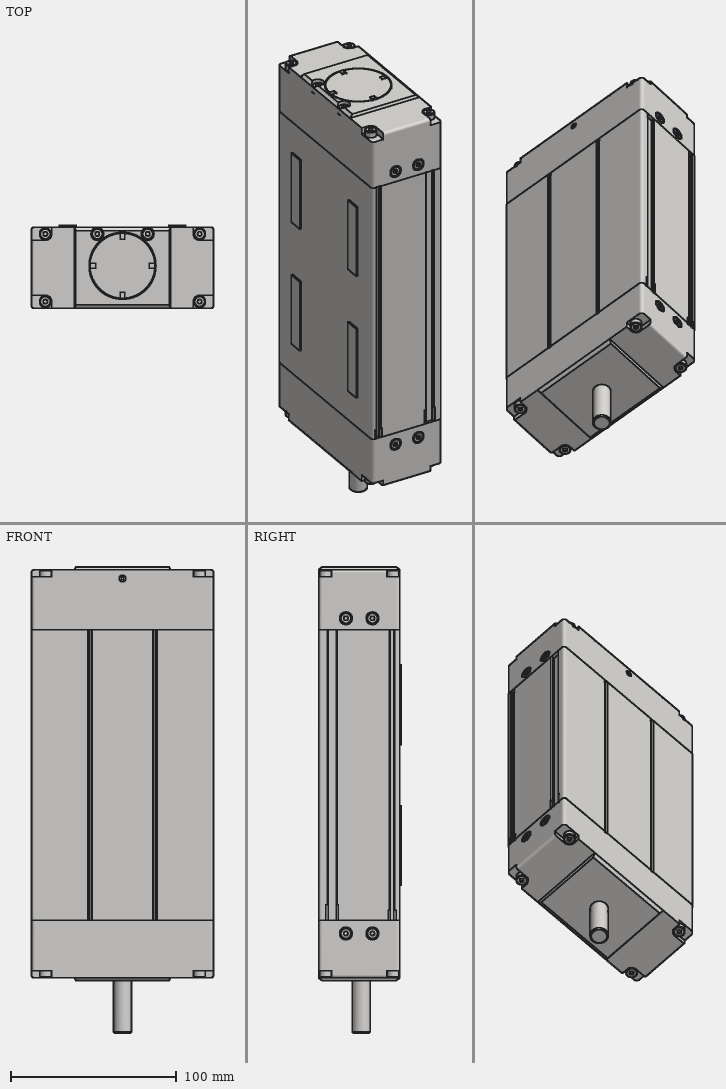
import cadquery as cq

WIDTH = 110.0
DEPTH = 49.0
SHAFT_LENGTH = 31.5
FACE_PLATE_HEIGHT = 1.75
LOWER_HEAD_HEIGHT = 34.75
PROFILE_LENGTH = 175.0
TOTAL_HEIGHT = 281.0
AXIS_Y = 1.2

PROFILE_BOTTOM = SHAFT_LENGTH + FACE_PLATE_HEIGHT + LOWER_HEAD_HEIGHT
PROFILE_TOP = PROFILE_BOTTOM + PROFILE_LENGTH
UPPER_HEAD_HEIGHT = TOTAL_HEIGHT - PROFILE_TOP - FACE_PLATE_HEIGHT

HEAD_CORNER_RADIUS = 2.2
END_EDGE_RADIUS = 1.8
FACE_PLATE_WIDTH = 58.0
FACE_PLATE_END_SLOPE = 2.2
FACE_PLATE_SIDE_SLOPE = 0.9

POCKET_RADIUS = 3.8
POCKET_DEPTH = 4.2
SCREW_RADIUS = 3.5
SCREW_HEIGHT = 4.0
SCREW_CHAMFER = 0.5
SOCKET_RADIUS = 1.3
SOCKET_DEPTH = 1.5
CORNER_SCREW_X = 46.5
CORNER_SCREW_Y = 20.4
COVER_SCREW_X = 15.2
SIDE_SCREW_Y = 8.0
UPPER_SIDE_SCREW_OFFSET = 7.0
LOWER_SIDE_SCREW_OFFSET = 8.0

VENT_RADIUS = 2.0
VENT_BORE_RADIUS = 0.9
VENT_SINK_DEPTH = 1.0
VENT_DEPTH = 5.0
VENT_BELOW_TOP = 7.0

COVER_RECESS_RADIUS = 20.2
COVER_RADIUS = 19.6
COVER_THICKNESS = 4.0
COVER_NOTCH_WIDTH = 3.0
COVER_NOTCH_LENGTH = 3.6
COVER_NOTCH_DEPTH = 2.0

PROFILE_CORNER_RADIUS = 1.8
GROOVE_LIP = 0.7
FRONT_GROOVE_X = 19.5
FRONT_GROOVE_WIDTH = 1.2
FRONT_GROOVE_DEPTH = 1.3
SIDE_GROOVE_DEPTH = 2.0
SIDE_GROOVES = [(-18.6, -13.9, 9.3), (18.8, 20.8, 6.0)]
MOUTH_MARGIN = 1.4
PAD_X = 33.0
PAD_WIDTH = 10.0
PAD_LENGTH = 48.0
PAD_HEIGHT = 1.0
PAD_SPACING = 84.8

SHAFT_RADIUS = 5.5
SHAFT_CHAMFER = 0.8
SHAFT_ENGAGEMENT = 20.0


def block(x_range, y_range, z_range):
    """Box given by its limits along each axis."""
    sizes = [high - low for low, high in (x_range, y_range, z_range)]
    corner = (x_range[0], y_range[0], z_range[0])
    return cq.Workplane("XY").box(*sizes, centered=False).translate(corner)


def cylinder(radius, height, base, direction):
    """Cylinder that starts at base and runs along direction."""
    return cq.Workplane(cq.Solid.makeCylinder(radius, height, cq.Vector(*base), cq.Vector(*direction)))


def add_screw(body, floor, outward):
    """Socket-head screw standing on the floor point of its pocket."""
    top = [start + SCREW_HEIGHT * step for start, step in zip(floor, outward)]
    inward = [-step for step in outward]
    straight_height = SCREW_HEIGHT - SCREW_CHAMFER
    rim_radius = SCREW_RADIUS - SCREW_CHAMFER
    shoulder = [start + straight_height * step for start, step in zip(floor, outward)]
    bevel = cq.Solid.makeCone(
        SCREW_RADIUS, rim_radius, SCREW_CHAMFER, cq.Vector(*shoulder), cq.Vector(*outward)
    )
    body = body.union(cylinder(SCREW_RADIUS, straight_height, floor, outward)).union(cq.Workplane(bevel))
    return body.cut(cylinder(SOCKET_RADIUS, SOCKET_DEPTH, top, inward))


def make_head_blank(height):
    """Head with its joint face at Z = 0 and its outer end, with face plate, at the top."""
    rounded_sides = cq.Workplane("XY").box(WIDTH, DEPTH, height, centered=(True, True, False))
    rounded_end = rounded_sides.faces(">Z").edges("|Y").fillet(END_EDGE_RADIUS)
    head = rounded_sides.edges("|Z").fillet(HEAD_CORNER_RADIUS).intersect(rounded_end)
    plate = (
        cq.Workplane("XY", origin=(0, 0, height))
        .rect(FACE_PLATE_WIDTH, DEPTH)
        .workplane(offset=FACE_PLATE_HEIGHT)
        .rect(FACE_PLATE_WIDTH - 2 * FACE_PLATE_SIDE_SLOPE, DEPTH - 2 * FACE_PLATE_END_SLOPE)
        .loft(ruled=True)
    )
    return head.union(plate)


def add_corner_screws(head, height):
    """Open pocket with a screw at each corner of the outer end."""
    floor = height - POCKET_DEPTH
    for x_side in (-1, 1):
        for y_side in (-1, 1):
            inner_x = CORNER_SCREW_X - POCKET_RADIUS
            inner_y = CORNER_SCREW_Y - POCKET_RADIUS
            pocket = block((inner_x, WIDTH), (inner_y, DEPTH), (floor, height + FACE_PLATE_HEIGHT))
            pocket = pocket.edges("|Z and <X and <Y").fillet(POCKET_RADIUS)
            if x_side < 0:
                pocket = pocket.mirror("YZ")
            if y_side < 0:
                pocket = pocket.mirror("XZ")
            head = head.cut(pocket)
            head = add_screw(head, (x_side * CORNER_SCREW_X, y_side * CORNER_SCREW_Y, floor), (0, 0, 1))
    return head


def add_side_screws(head, offset):
    """Two counterbored screws in each narrow side, offset from the joint face."""
    for x_side in (-1, 1):
        for y in (-SIDE_SCREW_Y, SIDE_SCREW_Y):
            floor = (x_side * (WIDTH / 2 - POCKET_DEPTH), y, offset)
            outward = (x_side, 0, 0)
            head = head.cut(cylinder(POCKET_RADIUS, POCKET_DEPTH, floor, outward))
            head = add_screw(head, floor, outward)
    return head


def add_cover_screws(head, height):
    """Two screws beside the round cover, near the back edge."""
    floor = height - POCKET_DEPTH
    top = height + FACE_PLATE_HEIGHT
    for x in (-COVER_SCREW_X, COVER_SCREW_X):
        foot = (x, CORNER_SCREW_Y, floor)
        head = head.cut(cylinder(POCKET_RADIUS, top - floor, foot, (0, 0, 1)))
        head = add_screw(head, foot, (0, 0, 1))
    return head


def make_upper_head():
    height = UPPER_HEAD_HEIGHT
    outer_face = height + FACE_PLATE_HEIGHT
    head = add_corner_screws(make_head_blank(height), height)
    head = add_side_screws(head, UPPER_SIDE_SCREW_OFFSET)
    head = add_cover_screws(head, height)
    recess_floor = (0, AXIS_Y, outer_face - COVER_THICKNESS)
    head = head.cut(cylinder(COVER_RECESS_RADIUS, COVER_THICKNESS, recess_floor, (0, 0, 1)))
    vent = (0, -DEPTH / 2, outer_face - VENT_BELOW_TOP)
    head = head.cut(cylinder(VENT_RADIUS, VENT_SINK_DEPTH, vent, (0, 1, 0)))
    head = head.cut(cylinder(VENT_BORE_RADIUS, VENT_DEPTH, vent, (0, 1, 0)))
    return head.translate((0, 0, PROFILE_TOP))


def make_lower_head():
    height = LOWER_HEAD_HEIGHT
    head = add_corner_screws(make_head_blank(height), height)
    head = add_side_screws(head, LOWER_SIDE_SCREW_OFFSET)
    head = head.mirror("XY").translate((0, 0, PROFILE_BOTTOM))
    bore_length = FACE_PLATE_HEIGHT + SHAFT_ENGAGEMENT
    return head.cut(cylinder(SHAFT_RADIUS, bore_length, (0, AXIS_Y, SHAFT_LENGTH), (0, 0, 1)))


def make_groove_cutter(width, depth):
    """Groove with bevelled lips, cut toward +Y from the plane Y = 0 over the profile length."""
    half = width / 2
    outline = [
        (-half - GROOVE_LIP, 0),
        (-half, GROOVE_LIP),
        (-half, depth),
        (half, depth),
        (half, GROOVE_LIP),
        (half + GROOVE_LIP, 0),
    ]
    return cq.Workplane("XY").polyline(outline).close().extrude(PROFILE_LENGTH)


def make_profile():
    span = (PROFILE_BOTTOM, PROFILE_TOP)
    half_width = WIDTH / 2
    half_depth = DEPTH / 2
    profile = block((-half_width, half_width), (-half_depth, half_depth), span)
    profile = profile.edges("|Z").fillet(PROFILE_CORNER_RADIUS)

    for x in (-FRONT_GROOVE_X, FRONT_GROOVE_X):
        groove = make_groove_cutter(FRONT_GROOVE_WIDTH, FRONT_GROOVE_DEPTH)
        profile = profile.cut(groove.translate((x, -half_depth, PROFILE_BOTTOM)))

    for low_y, high_y, mouth_height in SIDE_GROOVES:
        groove = make_groove_cutter(high_y - low_y, SIDE_GROOVE_DEPTH)
        groove = groove.rotate((0, 0, 0), (0, 0, 1), -90)
        groove = groove.translate((-half_width, (low_y + high_y) / 2, PROFILE_BOTTOM))
        mouth_x = (-half_width, -half_width + GROOVE_LIP)
        mouth_y = (low_y - MOUTH_MARGIN, high_y + MOUTH_MARGIN)
        mouth_z = (PROFILE_BOTTOM, PROFILE_BOTTOM + mouth_height)
        groove = groove.union(block(mouth_x, mouth_y, mouth_z))
        profile = profile.cut(groove).cut(groove.mirror("YZ"))

    middle = (PROFILE_BOTTOM + PROFILE_TOP) / 2
    for x in (-PAD_X, PAD_X):
        for z in (middle - PAD_SPACING / 2, middle + PAD_SPACING / 2):
            pad_x = (x - PAD_WIDTH / 2, x + PAD_WIDTH / 2)
            pad_z = (z - PAD_LENGTH / 2, z + PAD_LENGTH / 2)
            profile = profile.union(block(pad_x, (half_depth, half_depth + PAD_HEIGHT), pad_z))
    return profile


def make_cover():
    bottom = TOTAL_HEIGHT - COVER_THICKNESS
    cover = cylinder(COVER_RADIUS, COVER_THICKNESS, (0, AXIS_Y, bottom), (0, 0, 1))
    notch_centre = COVER_RADIUS - COVER_NOTCH_LENGTH / 2
    notches = (
        cq.Workplane("XY", origin=(0, AXIS_Y, TOTAL_HEIGHT))
        .polarArray(notch_centre, 0, 360, 4)
        .rect(COVER_NOTCH_LENGTH, COVER_NOTCH_WIDTH)
        .extrude(-COVER_NOTCH_DEPTH)
    )
    return cover.cut(notches)


def make_shaft():
    length = SHAFT_LENGTH + FACE_PLATE_HEIGHT + SHAFT_ENGAGEMENT
    shaft = cylinder(SHAFT_RADIUS, length, (0, AXIS_Y, 0), (0, 0, 1))
    return shaft.faces("<Z").chamfer(SHAFT_CHAMFER)


profile = make_profile()
upper_head = make_upper_head()
lower_head = make_lower_head()
cover = make_cover()
shaft = make_shaft()

result = cq.Compound.makeCompound(
    [profile.val(), upper_head.val(), lower_head.val(), cover.val(), shaft.val()]
)